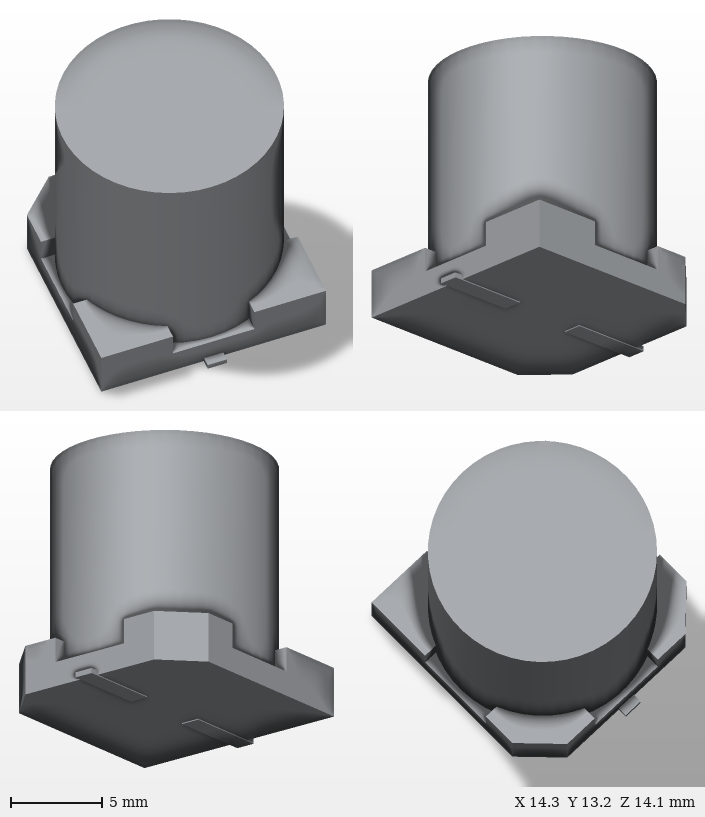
import cadquery as cq

terminal_span = 14.3
base_side = 13.21
total_height = 14.05

standoff = 0.06
base_height = 2.83
corner_chamfer = 2.12
notch_width = 4.79
notch_floor_height = 1.42
base_top = standoff + base_height
notch_floor = standoff + notch_floor_height

can_diameter = 12.54

terminal_width = 1.13
terminal_thickness = 0.3
terminal_gap = 4.52
terminal_length = (terminal_span - terminal_gap) / 2


def make_can():
    """Plain cylinder standing on the seat of the base."""
    can_height = total_height - notch_floor
    return cq.Workplane("XY").workplane(offset=notch_floor).circle(can_diameter / 2).extrude(can_height)


def make_terminal(side):
    """Flat strip reaching out past the base; side is -1 or +1 along X."""
    center_x = side * (terminal_gap + terminal_length) / 2
    return (
        cq.Workplane("XY")
        .center(center_x, 0)
        .rect(terminal_length, terminal_width)
        .extrude(terminal_thickness)
    )


def make_base(can, terminals):
    """Square plate with two cut corners, a notch in each side, a can seat and terminal recesses."""
    base = (
        cq.Workplane("XY")
        .workplane(offset=standoff)
        .rect(base_side, base_side)
        .extrude(base_height)
        .edges("|Z and <X")
        .chamfer(corner_chamfer)
    )

    notch_plane = cq.Workplane("XY").workplane(offset=notch_floor)
    notch_depth = base_top - notch_floor
    base = base.cut(notch_plane.rect(base_side, notch_width).extrude(notch_depth))
    base = base.cut(notch_plane.rect(notch_width, base_side).extrude(notch_depth))

    base = base.cut(can)
    for terminal in terminals:
        base = base.cut(terminal)
    return base


can = make_can()
terminals = [make_terminal(side) for side in (-1, 1)]
base = make_base(can, terminals)

result = cq.Compound.makeCompound([
    base.solids().val(),
    can.val(),
    *[terminal.val() for terminal in terminals],
])